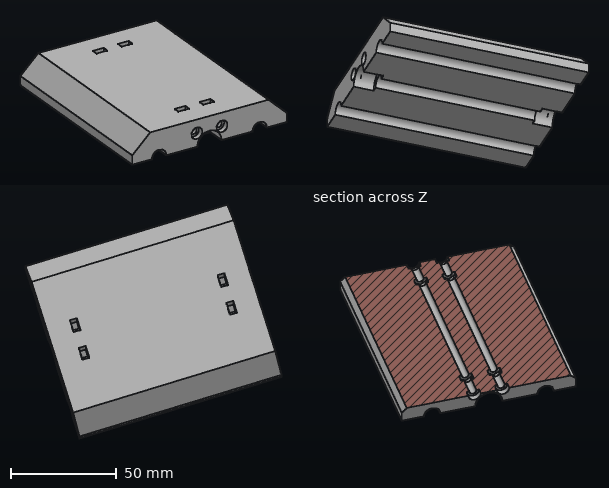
import cadquery as cq
import math

length = 100.0
width = 86.0
height = 14.5
shoulder_width = 10.0
edge_height = 5.0

channel_diameter = 8.0
channel_spacing = 28.0
recess_diameter = 13.4
recess_depth = 10.0

screw_diameter = 3.4
screw_head_diameter = 6.0
screw_head_depth = 3.0
screw_offset = 7.0
screw_height = height / 2

nut_flats = 6.0
nut_thickness = 3.4
nut_offset = 36.5


def x_cylinder(diameter, start_x, span, y, z):
    """Cylinder along X, starting at start_x."""
    return cq.Workplane("YZ", origin=(start_x, y, z)).circle(diameter / 2).extrude(span)


def end_bores(diameter, depth, y, z):
    """Equal blind bores entering from both X ends."""
    left = x_cylinder(diameter, -length / 2, depth, y, z)
    right = x_cylinder(diameter, length / 2 - depth, depth, y, z)
    return left.union(right)


def make_block():
    half_width = width / 2
    top_half_width = half_width - shoulder_width
    outline = [
        (-half_width, 0),
        (half_width, 0),
        (half_width, edge_height),
        (top_half_width, height),
        (-top_half_width, height),
        (-half_width, edge_height),
    ]
    return cq.Workplane("YZ", origin=(-length / 2, 0, 0)).polyline(outline).close().extrude(length)


def nut_pocket(x, y):
    """Slot with the lower half of a hexagon, point down, as its floor."""
    half_flats = nut_flats / 2
    point_z = screw_height - nut_flats / math.sqrt(3)
    corner_z = screw_height - half_flats / math.sqrt(3)
    outline = [
        (y, point_z),
        (y + half_flats, corner_z),
        (y + half_flats, height),
        (y - half_flats, height),
        (y - half_flats, corner_z),
    ]
    start_x = x - nut_thickness / 2
    return cq.Workplane("YZ", origin=(start_x, 0, 0)).polyline(outline).close().extrude(nut_thickness)


result = make_block()

for channel_y in (-channel_spacing, 0, channel_spacing):
    result = result.cut(x_cylinder(channel_diameter, -length / 2, length, channel_y, 0))
result = result.cut(end_bores(recess_diameter, recess_depth, 0, 0))

for screw_y in (-screw_offset, screw_offset):
    result = result.cut(x_cylinder(screw_diameter, -length / 2, length, screw_y, screw_height))
    result = result.cut(end_bores(screw_head_diameter, screw_head_depth, screw_y, screw_height))
    for nut_x in (-nut_offset, nut_offset):
        result = result.cut(nut_pocket(nut_x, screw_y))